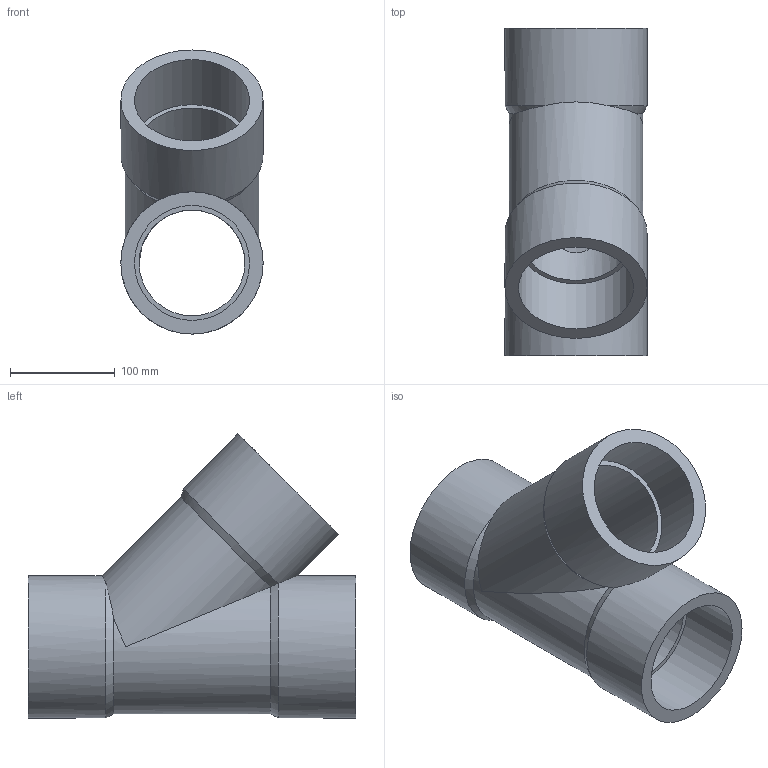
import cadquery as cq

socket_outer_diameter = 136.0
socket_bore_diameter = 110.0
socket_depth = 61.0
body_outer_diameter = 128.0
body_bore_diameter = 101.0
socket_length = 74.0
collar_taper_length = 7.6
branch_angle = 45.0

front_reach = 220.0
rear_reach = 93.0
branch_reach = 220.0


def leg_outer(reach):
    """Outer solid of one leg along +Z: body, taper and socket collar."""
    body_radius = body_outer_diameter / 2
    collar_radius = socket_outer_diameter / 2
    collar_start = reach - socket_length
    profile = [
        (0, 0),
        (body_radius, 0),
        (body_radius, collar_start - collar_taper_length),
        (collar_radius, collar_start),
        (collar_radius, reach),
        (0, reach),
    ]
    return cq.Workplane("XZ").polyline(profile).close().revolve(360, (0, 0), (0, 1))


def leg_bore(reach):
    """Bore of one leg along +Z: body bore opening into the wider socket."""
    body_bore = cq.Workplane("XY").circle(body_bore_diameter / 2).extrude(reach)
    socket = (
        cq.Workplane("XY")
        .workplane(offset=reach - socket_depth)
        .circle(socket_bore_diameter / 2)
        .extrude(socket_depth)
    )
    return body_bore.union(socket)


def tilt(leg, angle):
    """Turn a +Z leg about the X axis; 90 degrees points it along -Y."""
    return leg.rotate((0, 0, 0), (1, 0, 0), angle)


front_tilt = 90.0
rear_tilt = -90.0
branch_tilt = front_tilt - branch_angle

legs = [
    (front_reach, front_tilt),
    (rear_reach, rear_tilt),
    (branch_reach, branch_tilt),
]

outer = cq.Workplane("XY")
bores = cq.Workplane("XY")
for reach, angle in legs:
    outer = outer.union(tilt(leg_outer(reach), angle))
    bores = bores.union(tilt(leg_bore(reach), angle))

result = outer.cut(bores)